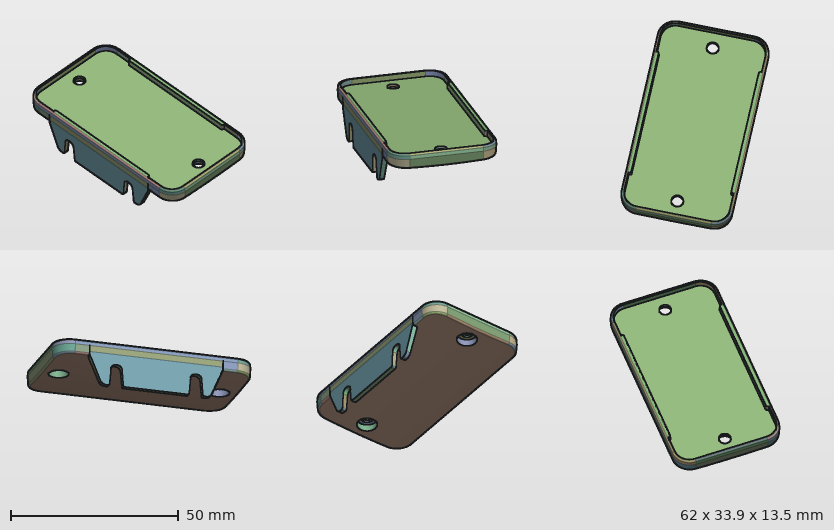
import cadquery as cq
import math

length = 62.0
width = 33.9
corner_radius = 5.5
rim_height = 1.55
rim_draft = 5.0
rim_fillet = 0.5
base_draft = 4.0
base_depth_middle = 3.4
base_depth_edge = 2.85
base_fillet = 0.6

recess_depth = 1.75
recess_inset = 1.05
recess_draft = 5.0

ledge_length = 39.9
ledge_inset = 1.85
ledge_draft = 6.0
ledge_corner_radius = 0.6
ledge_root_inset = 0.75

hole_spacing = 50.35
hole_diameter = 3.6
counterbore_diameter = 6.1
hole_land = 0.85

total_height = 13.5
tab_width = 41.7
pad_depth = 1.9
tab_shoulder_depth = 3.0
tab_bottom_width = 34.1
tab_corner_radius = 2.0
tab_thickness = 1.8
tab_draft = 1.0

slot_spacing = 24.9
slot_depth = 6.7
slot_top_width = 3.2
slot_mouth_width = 4.35
slot_top_radius = 1.5
slot_mouth_radius = 0.5

selection_margin = 0.05

floor_z = rim_height - recess_depth
tab_bottom_z = rim_height - total_height
front_y = -width / 2


def rounded_rectangle(size_x, size_y, radius, z):
    """Closed rounded rectangle centred on the Z axis, at height z."""
    outline = cq.Sketch().rect(size_x, size_y).vertices().fillet(radius)
    return cq.Workplane("XY", origin=(0, 0, z)).placeSketch(outline)


def make_body():
    """Solid plate, drafted both ways from the parting plane, with an arched underside."""
    rim = rounded_rectangle(length, width, corner_radius, 0).extrude(rim_height, taper=rim_draft)
    rim = rim.faces(">Z").edges().fillet(rim_fillet)

    base = rounded_rectangle(length, width, corner_radius, 0).extrude(-total_height / 2, taper=base_draft)
    arched_section = (
        cq.Workplane("YZ")
        .moveTo(front_y, 0)
        .lineTo(front_y, -base_depth_edge)
        .threePointArc((0, -base_depth_middle), (-front_y, -base_depth_edge))
        .lineTo(-front_y, 0)
        .close()
        .extrude(length / 2, both=True)
    )
    base = base.intersect(arched_section)
    base = base.faces("<Z").edges().fillet(base_fillet)
    return rim.union(base)


def make_recess():
    """Drafted cavity of the tray, narrowing toward its floor."""
    size_x = length - 2 * recess_inset
    size_y = width - 2 * recess_inset
    radius = corner_radius - recess_inset
    return rounded_rectangle(size_x, size_y, radius, floor_z).extrude(recess_depth, taper=-recess_draft)


def make_ledge(side):
    """Straight ledge level with the rim, on the long wall at +Y (side = 1) or -Y (side = -1)."""
    foot_y = width / 2 - ledge_inset
    crest_y = foot_y + recess_depth * math.tan(math.radians(ledge_draft))
    root_y = width / 2 - ledge_root_inset
    ledge = (
        cq.Workplane("YZ")
        .polyline([(foot_y, floor_z), (crest_y, rim_height), (root_y, rim_height), (root_y, floor_z)])
        .close()
        .extrude(ledge_length / 2, both=True)
    )
    ledge = ledge.faces("<Y").edges("not |X").fillet(ledge_corner_radius)
    return ledge if side > 0 else ledge.mirror("XZ")


def make_slot(center_x):
    """Slot cutter widening toward the bottom edge of the tab, rounded at its upper end."""
    top_z = tab_bottom_z + slot_depth
    slot = (
        cq.Workplane("XZ")
        .polyline([
            (center_x - slot_mouth_width / 2, tab_bottom_z),
            (center_x - slot_top_width / 2, top_z),
            (center_x + slot_top_width / 2, top_z),
            (center_x + slot_mouth_width / 2, tab_bottom_z),
        ])
        .close()
        .extrude(width)
    )
    return slot.faces(">Z").edges("|Y").fillet(slot_top_radius)


def make_tab():
    """Slotted tab, drafted in thickness, with an undrafted pad where it meets the plate."""
    outline = (
        cq.Workplane("XZ")
        .moveTo(-tab_width / 2, 0)
        .lineTo(-tab_width / 2, -tab_shoulder_depth)
        .lineTo(-tab_bottom_width / 2, tab_bottom_z)
        .lineTo(tab_bottom_width / 2, tab_bottom_z)
        .lineTo(tab_width / 2, -tab_shoulder_depth)
        .lineTo(tab_width / 2, 0)
        .close()
        .extrude(width)
    )
    outline = outline.faces("<Z").edges("|Y").fillet(tab_corner_radius)
    for center_x in (-slot_spacing / 2, slot_spacing / 2):
        outline = outline.cut(make_slot(center_x))
    outer_mouth_x = slot_spacing / 2 + slot_mouth_width / 2
    mouth_region = cq.selectors.BoxSelector(
        (-outer_mouth_x - selection_margin, -width, tab_bottom_z - selection_margin),
        (outer_mouth_x + selection_margin, 0, tab_bottom_z + selection_margin),
    )
    outline = outline.edges("|Y").edges(mouth_region).fillet(slot_mouth_radius)

    taper = (-pad_depth - tab_bottom_z) * math.tan(math.radians(tab_draft))
    back_y = front_y + tab_thickness
    profile = (
        cq.Workplane("YZ")
        .moveTo(front_y, 0)
        .lineTo(front_y, -pad_depth)
        .lineTo(front_y + taper, tab_bottom_z)
        .lineTo(back_y - taper, tab_bottom_z)
        .lineTo(back_y, -pad_depth)
        .lineTo(back_y, 0)
        .close()
        .extrude(tab_width / 2, both=True)
    )
    return outline.intersect(profile)


def make_screw_hole(center_x):
    """Through hole with a wide counterbore that leaves a thin land under the recess floor."""
    through = (
        cq.Workplane("XY", origin=(center_x, 0, floor_z))
        .circle(hole_diameter / 2)
        .extrude(-total_height)
    )
    counterbore = (
        cq.Workplane("XY", origin=(center_x, 0, floor_z - hole_land))
        .circle(counterbore_diameter / 2)
        .extrude(-total_height)
    )
    return through.union(counterbore)


result = make_body().union(make_tab()).cut(make_recess())
for side in (-1, 1):
    result = result.union(make_ledge(side))
    result = result.cut(make_screw_hole(side * hole_spacing / 2))